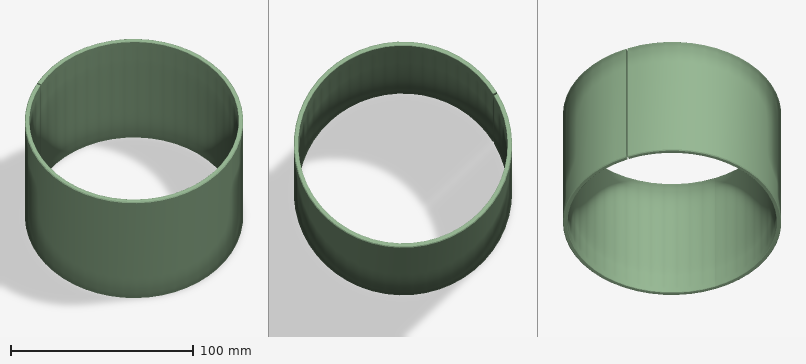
import cadquery as cq

outer_diameter = 120.0
wall = 2.5
height = 80.0
slit_width = 1.0
outer_chamfer = 0.5
inner_chamfer = 0.2

outer_radius = outer_diameter / 2
inner_radius = outer_radius - wall


def chamfered_cylinder(radius, chamfer):
    """Solid cylinder on the XY plane; its rims narrow by chamfer, or flare if negative."""
    rim_radius = radius - chamfer
    bevel_height = abs(chamfer)
    profile = [
        (0, 0),
        (rim_radius, 0),
        (radius, bevel_height),
        (radius, height - bevel_height),
        (rim_radius, height),
        (0, height),
    ]
    return cq.Workplane("XZ").polyline(profile).close().revolve(360, (0, 0), (0, 1))


sleeve = chamfered_cylinder(outer_radius, outer_chamfer)
sleeve = sleeve.cut(chamfered_cylinder(inner_radius, -inner_chamfer))

slit = (
    cq.Workplane("XY")
    .box(outer_diameter, slit_width, height, centered=(True, False, False))
    .translate((-outer_radius, 0, 0))
)

result = sleeve.cut(slit)